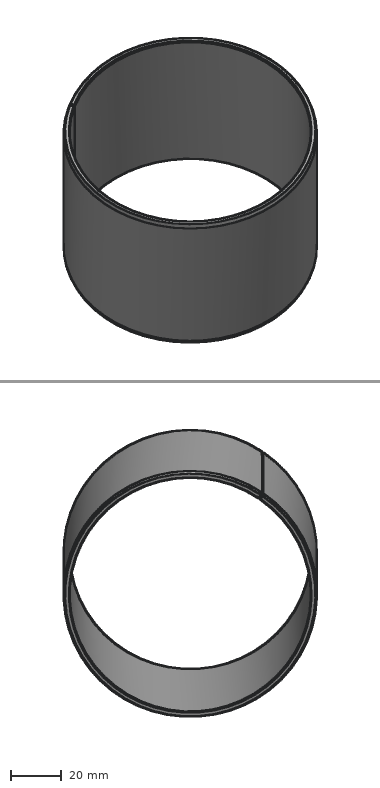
import cadquery as cq
import math

outer_diameter = 100.0
wall_thickness = 2.5
length = 70.0
split_angle = 1.0

outer_chamfer_length = 1.8
outer_chamfer_angle = 20.0

bore_chamfer_length = 0.6
bore_chamfer_angle = 30.0

outer_radius = outer_diameter / 2
bore_radius = outer_radius - wall_thickness
half_length = length / 2
outer_chamfer_depth = outer_chamfer_length * math.tan(math.radians(outer_chamfer_angle))
bore_chamfer_depth = bore_chamfer_length * math.tan(math.radians(bore_chamfer_angle))


def wall_section():
    """Chamfered wall section on the -X side of the axis, in the XZ plane."""
    return (
        cq.Workplane("XZ")
        .moveTo(-bore_radius, -half_length + bore_chamfer_length)
        .lineTo(-bore_radius - bore_chamfer_depth, -half_length)
        .lineTo(-outer_radius + outer_chamfer_depth, -half_length)
        .lineTo(-outer_radius, -half_length + outer_chamfer_length)
        .lineTo(-outer_radius, half_length - outer_chamfer_length)
        .lineTo(-outer_radius + outer_chamfer_depth, half_length)
        .lineTo(-bore_radius - bore_chamfer_depth, half_length)
        .lineTo(-bore_radius, half_length - bore_chamfer_length)
        .close()
    )


result = wall_section().revolve(360 - split_angle, (0, 0, 0), (0, 1, 0))